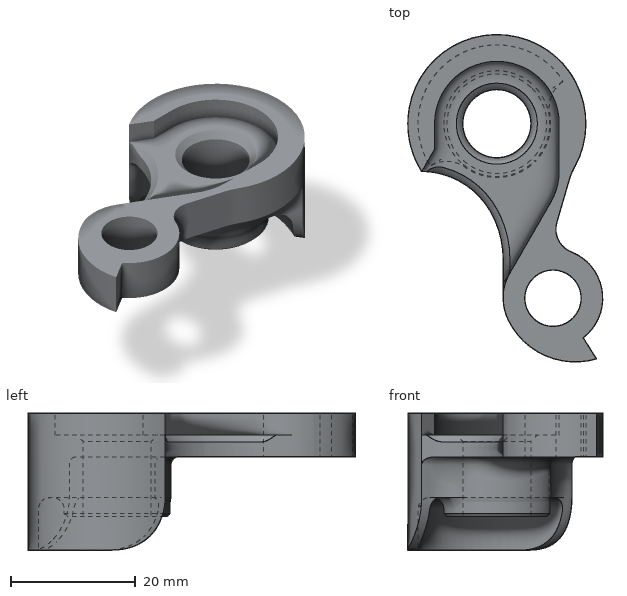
import math

import cadquery as cq

TOTAL_HEIGHT = 22.0
PLATE_THICKNESS = 7.0
POCKET_DEPTH = 3.5
BLOCK_DEPTH = 13.5
BOSS_DEPTH = 16.6

DISC_RADIUS = 14.3
MAIN_HOLE_RADIUS = 5.45
MAIN_HOLE_CHAMFER = 1.05

RING_CENTER = (9.0, -28.0)
RING_RADIUS = 8.0
SMALL_HOLE_RADIUS = 4.5
ARM_LEFT_X = RING_CENTER[0] - RING_RADIUS

TAIL_RADIUS = 12.0
TAIL_START_ANGLE = 206.1
TAIL_TIP_ANGLE = -73.5
NOTCH_ANGLE = -52.5

SIDE_LEAN = 16.2
SIDE_DISTANCE = 13.68
DISC_BLEND_RADIUS = 10.0
RING_BLEND_RADIUS = 3.9

SPLIT_ANGLE = 32.5

INNER_ARC_RADIUS = 12.68
OUTER_ARC_RADIUS = 15.5

POCKET_RADIUS = 10.0
POCKET_BEND_RADIUS = 10.0
POCKET_WALL_LEAN = 30.0

EDGE_CHAMFER = 1.1
EDGE_CHAMFER_START_ANGLE = 75.0
EDGE_CHAMFER_END_Y = -23.1
EDGE_CHAMFER_RUNOUT_RADIUS = 2.0

BOSS_RADIUS = 8.65
BOSS_TIP_RADIUS = 8.5
BOSS_CHAMFER = 0.5
BLOCK_FILLET = 1.25
ROOT_FILLET = 2.0
BOSS_BLEND_RADIUS = 5.0
SKIRT_INNER_RADIUS = 12.65
SKIRT_CORNER_RADIUS = TOTAL_HEIGHT - BLOCK_DEPTH

OVERSIZE = 2 * DISC_RADIUS
SELECT_MARGIN = 0.1


def polar(center, radius, angle):
    """Point on a circle, angle in degrees."""
    turn = math.radians(angle)
    return (center[0] + radius * math.cos(turn), center[1] + radius * math.sin(turn))


def angle_to(start, end):
    """Direction from one point to another, in degrees."""
    return math.degrees(math.atan2(end[1] - start[1], end[0] - start[0]))


def add_arc(sketch, center, radius, start_angle, end_angle):
    """Continue a sketch along a circular arc."""
    middle = polar(center, radius, (start_angle + end_angle) / 2)
    return sketch.threePointArc(middle, polar(center, radius, end_angle))


def prism(sketch, bottom, top):
    """Close a sketch drawn at Z = 0 and extrude it between two heights."""
    return sketch.close().extrude(top - bottom).translate((0, 0, bottom))


def cylinder(radius, bottom, top, center=(0, 0)):
    return cq.Workplane("XY", origin=(*center, bottom)).circle(radius).extrude(top - bottom)


ORIGIN = (0.0, 0.0)
TIP_ANGLE = 180 + SPLIT_ANGLE
TIP = polar(ORIGIN, DISC_RADIUS, TIP_ANGLE)

INNER_ARC_CENTER = (TIP[0], TIP[1] - INNER_ARC_RADIUS)
OUTER_ARC_X = ARM_LEFT_X - OUTER_ARC_RADIUS
OUTER_ARC_DROP = math.sqrt(
    (OUTER_ARC_RADIUS - INNER_ARC_RADIUS) ** 2 - (OUTER_ARC_X - INNER_ARC_CENTER[0]) ** 2
)
OUTER_ARC_CENTER = (OUTER_ARC_X, INNER_ARC_CENTER[1] - OUTER_ARC_DROP)
ARC_JOIN_ANGLE = angle_to(OUTER_ARC_CENTER, INNER_ARC_CENTER)


def blend_center(circle_center, circle_radius, blend_radius, side):
    """Centre of a blend touching a circle and the outside of the arm's straight side.

    side is -1 when the centre lies below the circle along the side, +1 when above it.
    """
    lean = math.radians(SIDE_LEAN)
    normal = (math.cos(lean), -math.sin(lean))
    upward = (math.sin(lean), math.cos(lean))
    circle_offset = circle_center[0] * normal[0] + circle_center[1] * normal[1]
    across = SIDE_DISTANCE + blend_radius - circle_offset
    along = side * math.sqrt((circle_radius + blend_radius) ** 2 - across**2)
    return (
        circle_center[0] + across * normal[0] + along * upward[0],
        circle_center[1] + across * normal[1] + along * upward[1],
    )


def make_outline():
    """Full plan outline of the part, from the tip clockwise, as a tall prism."""
    disc_blend = blend_center(ORIGIN, DISC_RADIUS, DISC_BLEND_RADIUS, -1)
    ring_blend = blend_center(RING_CENTER, RING_RADIUS, RING_BLEND_RADIUS, 1)
    disc_end = angle_to(ORIGIN, disc_blend)
    ring_start = angle_to(RING_CENTER, ring_blend)
    side_normal = 180 - SIDE_LEAN
    tail_center = polar(RING_CENTER, RING_RADIUS - TAIL_RADIUS, TAIL_START_ANGLE)

    sketch = cq.Workplane("XY").moveTo(*TIP)
    sketch = add_arc(sketch, ORIGIN, DISC_RADIUS, TIP_ANGLE, disc_end)
    sketch = add_arc(sketch, disc_blend, DISC_BLEND_RADIUS, disc_end + 180, side_normal)
    sketch = sketch.lineTo(*polar(ring_blend, RING_BLEND_RADIUS, side_normal))
    sketch = add_arc(sketch, ring_blend, RING_BLEND_RADIUS, side_normal, ring_start + 180)
    sketch = add_arc(sketch, RING_CENTER, RING_RADIUS, ring_start, NOTCH_ANGLE)
    sketch = sketch.lineTo(*polar(tail_center, TAIL_RADIUS, TAIL_TIP_ANGLE))
    sketch = add_arc(sketch, tail_center, TAIL_RADIUS, TAIL_TIP_ANGLE, TAIL_START_ANGLE - 360)
    sketch = add_arc(sketch, RING_CENTER, RING_RADIUS, TAIL_START_ANGLE, 180)
    sketch = sketch.lineTo(ARM_LEFT_X, OUTER_ARC_CENTER[1])
    sketch = add_arc(sketch, OUTER_ARC_CENTER, OUTER_ARC_RADIUS, 0, ARC_JOIN_ANGLE)
    sketch = add_arc(sketch, INNER_ARC_CENTER, INNER_ARC_RADIUS, ARC_JOIN_ANGLE, 90)
    return prism(sketch, -TOTAL_HEIGHT, 0)


def make_block_prism():
    """Half plane behind the skirt's end line, blended into the boss.

    The end line lies along X here; the finished bodies are turned to its true direction.
    """
    blend_x = math.sqrt((BOSS_RADIUS + BOSS_BLEND_RADIUS) ** 2 - BOSS_BLEND_RADIUS**2)
    blend_right = (blend_x, -BOSS_BLEND_RADIUS)
    blend_left = (-blend_x, -BOSS_BLEND_RADIUS)
    touch_right = angle_to(ORIGIN, blend_right)
    touch_left = angle_to(ORIGIN, blend_left)

    sketch = cq.Workplane("XY").moveTo(-OVERSIZE, 0).lineTo(-blend_x, 0)
    sketch = add_arc(sketch, blend_left, BOSS_BLEND_RADIUS, 90, touch_left + 180)
    sketch = add_arc(sketch, ORIGIN, BOSS_RADIUS, touch_left, touch_right)
    sketch = add_arc(sketch, blend_right, BOSS_BLEND_RADIUS, touch_right + 180, 90)
    sketch = sketch.lineTo(OVERSIZE, 0).lineTo(OVERSIZE, OVERSIZE).lineTo(-OVERSIZE, OVERSIZE)
    return prism(sketch, -BLOCK_DEPTH, -PLATE_THICKNESS)


def turn_to_split(body):
    return body.rotate((0, 0, 0), (0, 0, 1), SPLIT_ANGLE)


def make_block():
    """Oversize slab with the half-disc block filleted to its underside, and the boss below."""
    slab_size = 4 * OVERSIZE
    slab = cq.Workplane("XY").workplane(offset=-PLATE_THICKNESS)
    slab = slab.rect(slab_size, slab_size).extrude(PLATE_THICKNESS)
    front_edges = cq.selectors.BoxSelector(
        (-OVERSIZE + SELECT_MARGIN, -DISC_RADIUS, -PLATE_THICKNESS - SELECT_MARGIN),
        (OVERSIZE - SELECT_MARGIN, SELECT_MARGIN, -PLATE_THICKNESS + SELECT_MARGIN),
    )
    block = slab.union(make_block_prism()).edges(front_edges).fillet(BLOCK_FILLET)

    boss = cylinder(BOSS_TIP_RADIUS, -BOSS_DEPTH, -PLATE_THICKNESS)
    boss = boss.faces("<Z").edges().chamfer(BOSS_CHAMFER)
    root_edge = cq.selectors.BoxSelector(
        (-SELECT_MARGIN, -SELECT_MARGIN, -BLOCK_DEPTH - SELECT_MARGIN),
        (SELECT_MARGIN, SELECT_MARGIN, -BLOCK_DEPTH + SELECT_MARGIN),
    )
    block = block.union(boss).edges(root_edge).fillet(ROOT_FILLET)
    return turn_to_split(block)


def make_skirt():
    """Half-round wall below the block with rounded lower corners and a fillet at its root."""
    root_center = (SKIRT_INNER_RADIUS - ROOT_FILLET, -BLOCK_DEPTH - ROOT_FILLET)
    profile = cq.Workplane("XZ").moveTo(root_center[0], -BLOCK_DEPTH)
    profile = add_arc(profile, root_center, ROOT_FILLET, 90, 0)
    profile = (
        profile.lineTo(SKIRT_INNER_RADIUS, -TOTAL_HEIGHT)
        .lineTo(DISC_RADIUS, -TOTAL_HEIGHT)
        .lineTo(DISC_RADIUS, -BLOCK_DEPTH)
        .close()
    )
    wall = profile.revolve(360, (0, 0), (0, 1))

    kept = cq.Workplane("YZ", origin=(-DISC_RADIUS, 0, 0)).moveTo(0, -BLOCK_DEPTH)
    corner_center = (SKIRT_CORNER_RADIUS, -BLOCK_DEPTH)
    kept = add_arc(kept, corner_center, SKIRT_CORNER_RADIUS, 180, 270)
    kept = kept.lineTo(DISC_RADIUS, -TOTAL_HEIGHT).lineTo(DISC_RADIUS, -BLOCK_DEPTH).close()
    return turn_to_split(wall.intersect(kept.extrude(2 * DISC_RADIUS)))


def make_pocket():
    """Recess in the top face, open on the concave side."""
    wall_normal = 180 - POCKET_WALL_LEAN
    lean = math.radians(POCKET_WALL_LEAN)
    wall_start = polar(RING_CENTER, RING_RADIUS, wall_normal)
    corner_y = wall_start[1] + (POCKET_RADIUS - wall_start[0]) / math.tan(lean)
    bend_y = corner_y + POCKET_BEND_RADIUS * math.tan(lean / 2)
    bend_center = (POCKET_RADIUS - POCKET_BEND_RADIUS, bend_y)
    left_corner_y = TIP[1] + (-POCKET_RADIUS - TIP[0]) / math.tan(lean)

    sketch = cq.Workplane("XY").moveTo(ARM_LEFT_X, RING_CENTER[1])
    sketch = add_arc(sketch, RING_CENTER, RING_RADIUS, 180, wall_normal)
    sketch = sketch.lineTo(*polar(bend_center, POCKET_BEND_RADIUS, -POCKET_WALL_LEAN))
    sketch = add_arc(sketch, bend_center, POCKET_BEND_RADIUS, -POCKET_WALL_LEAN, 0)
    sketch = sketch.lineTo(POCKET_RADIUS, 0)
    sketch = add_arc(sketch, ORIGIN, POCKET_RADIUS, 0, 180)
    sketch = sketch.lineTo(-POCKET_RADIUS, left_corner_y).lineTo(*TIP)
    sketch = sketch.lineTo(TIP[0], RING_CENTER[1])
    return prism(sketch, -POCKET_DEPTH, 0)


def make_edge_chamfer():
    """Flared cutter that follows the concave edge and curls away from it at both ends."""
    runout = EDGE_CHAMFER_RUNOUT_RADIUS
    start = EDGE_CHAMFER_START_ANGLE
    upper_center = polar(INNER_ARC_CENTER, INNER_ARC_RADIUS - runout, start)
    lower_center = (ARM_LEFT_X - runout, EDGE_CHAMFER_END_Y)
    bottom = -POCKET_DEPTH - EDGE_CHAMFER

    sketch = cq.Workplane("XY", origin=(0, 0, bottom))
    sketch = sketch.moveTo(*polar(upper_center, runout, start + 90))
    sketch = add_arc(sketch, upper_center, runout, start + 90, start)
    sketch = add_arc(sketch, INNER_ARC_CENTER, INNER_ARC_RADIUS, start, ARC_JOIN_ANGLE)
    sketch = add_arc(sketch, OUTER_ARC_CENTER, OUTER_ARC_RADIUS, ARC_JOIN_ANGLE, 0)
    sketch = sketch.lineTo(ARM_LEFT_X, EDGE_CHAMFER_END_Y)
    sketch = add_arc(sketch, lower_center, runout, 0, -90)
    return sketch.close().extrude(EDGE_CHAMFER, taper=-45)


def make_holes():
    """Main hole with its countersunk rim, and the small hole in the ring."""
    main = cylinder(MAIN_HOLE_RADIUS, -TOTAL_HEIGHT, 0)
    rim = cq.Solid.makeCone(
        MAIN_HOLE_RADIUS,
        MAIN_HOLE_RADIUS + MAIN_HOLE_CHAMFER,
        MAIN_HOLE_CHAMFER,
        pnt=cq.Vector(0, 0, -POCKET_DEPTH - MAIN_HOLE_CHAMFER),
    )
    small = cylinder(SMALL_HOLE_RADIUS, -TOTAL_HEIGHT, 0, RING_CENTER)
    return main.union(cq.Workplane(rim)).union(small)


body = make_block().intersect(make_outline()).union(make_skirt())
body = body.cut(make_pocket()).cut(make_edge_chamfer())
result = body.cut(make_holes())